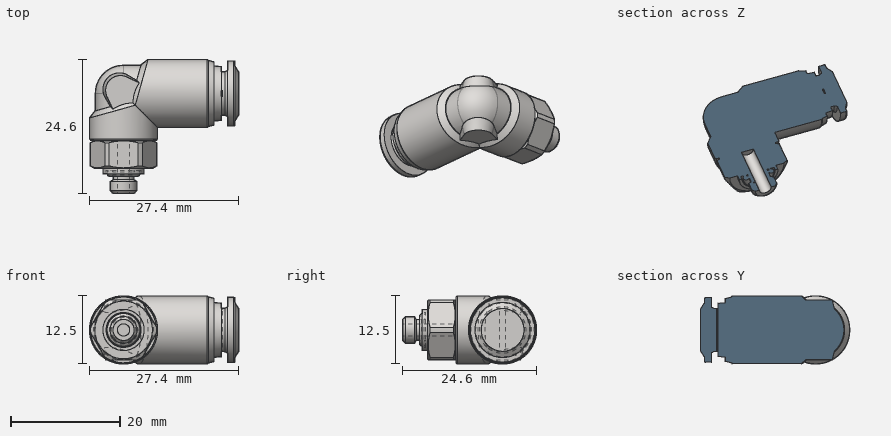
import cadquery as cq
import math


collar_radius = 12.5 / 2
elbow_radius = 5.2
collar_start = 1.72
collar_tilt = 15.8
collar_chamfer = 0.98
tube_collar_end = 15.3
stud_collar_end = 8.3

pad_height = 5.5
pad_radius = 2.7
pad_center = 0.57
pad_side_angle = 25.0
pad_reach = 4.38
pad_miter = 2.45
pad_depth = 4.1
pad_draft = 14.0

sleeve_bevel_end = 15.53
sleeve_end = 16.57
sleeve_start_radius = 6.07
sleeve_end_radius = 5.8
guide_end = 17.91
guide_start_radius = 5.05
guide_end_radius = 4.92
neck_radius = 4.0
neck_flare_start = 18.57
neck_flare_radius = 4.27
button_start = 19.05
button_bevel_start = 20.13
button_end = 20.38
button_radius = 6.0
button_end_radius = 5.9
nose_start_radius = 5.05
nose_end_radius = 3.9
tube_tip = 27.35 - collar_radius
slot_width = 0.16
slot_length = 1.05

swivel_radius = 5.47
stud_collar_tip = 8.55
stud_collar_tip_radius = 6.02
nut_start = 8.67
nut_end = 13.73
nut_flats = 2 * pad_height
nut_turn = 30.0
nut_corner_radius = 6.1
nut_start_radius = 5.5
nut_end_radius = 5.28
nut_chamfer_angle = 30.0

flange_end = 14.71
flange_radius = 3.77
seal_recess_radius = 3.2
seal_recess_depth = 0.63
seal_center_radius = 2.43
seal_section_radius = 0.57
seal_position = 14.63
stud_neck_radius = 1.91
thread_start = 15.78
thread_bevel_end = 16.1
thread_radius = 2.45
thread_chamfer_start = 17.75
thread_tip_radius = 1.95
stud_tip = 24.55 - collar_radius
bore_radius = 1.12


def turned_along_x(profile):
    """Revolve a closed (x, radius) outline about the X axis."""
    return cq.Workplane("XY").polyline(profile).close().revolve(360, (0, 0, 0), (1, 0, 0))


def turned_along_stud(profile):
    """Revolve a closed (distance along -Y, radius) outline about the Y axis."""
    points = [(radius, -distance) for distance, radius in profile]
    return cq.Workplane("XY").polyline(points).close().revolve(360, (0, 0, 0), (0, 1, 0))


def tube_side_collar(length):
    """Cylinder along +X whose inner face is slanted and chamfered."""
    slant = collar_radius * math.tan(math.radians(collar_tilt))
    blank = cq.Workplane("YZ").circle(collar_radius).extrude(length, both=True)
    keep = (
        cq.Workplane("XY")
        .polyline([
            (collar_start - slant, -collar_radius),
            (length, -collar_radius),
            (length, collar_radius),
            (collar_start + slant, collar_radius),
        ])
        .close()
        .extrude(collar_radius, both=True)
    )
    return blank.intersect(keep).faces("<X").edges().chamfer(collar_chamfer)


def elbow():
    """Round elbow with a slanted collar on each branch."""
    core = cq.Workplane("XY").sphere(elbow_radius)
    core = core.union(cq.Workplane("YZ").circle(elbow_radius).extrude(collar_radius))
    core = core.union(cq.Workplane("XZ").circle(elbow_radius).extrude(collar_radius))
    tube_collar = tube_side_collar(tube_collar_end)
    stud_collar = tube_side_collar(stud_collar_end).mirror(cq.Vector(1, 1, 0))
    return core.union(tube_collar).union(stud_collar)


def marking_pad():
    """Drafted teardrop pad on the +Z side, symmetric about the miter line."""
    angle = math.radians(pad_side_angle)
    side_x = -pad_center + pad_radius * math.sin(angle)
    side_y = pad_center + pad_radius * math.cos(angle)
    end_y = side_y - (pad_reach - side_x) * math.tan(angle)
    crown = pad_center + pad_radius * math.sqrt(0.5)
    return (
        cq.Workplane("XY", origin=(0, 0, pad_height))
        .moveTo(pad_miter, -pad_miter)
        .lineTo(pad_reach, end_y)
        .lineTo(side_x, side_y)
        .threePointArc((-crown, crown), (-side_y, -side_x))
        .lineTo(-end_y, -pad_reach)
        .close()
        .extrude(-pad_depth, taper=-pad_draft)
    )


def tube_end():
    """Stepped sleeve, neck and release button with a cross slot in the neck."""
    body = turned_along_x([
        (0, 0),
        (0, elbow_radius),
        (tube_collar_end, elbow_radius),
        (tube_collar_end, collar_radius),
        (sleeve_bevel_end, sleeve_start_radius),
        (sleeve_end, sleeve_end_radius),
        (sleeve_end, guide_start_radius),
        (guide_end, guide_end_radius),
        (guide_end, neck_radius),
        (neck_flare_start, neck_radius),
        (button_start, neck_flare_radius),
        (button_start, button_radius),
        (button_bevel_start, button_radius),
        (button_end, button_end_radius),
        (button_end, nose_start_radius),
        (tube_tip, nose_end_radius),
        (tube_tip, 0),
    ])
    slot = (
        cq.Workplane("XY")
        .center(guide_end + slot_width / 2, 0)
        .rect(slot_width, slot_length)
        .extrude(neck_radius, both=True)
    )
    return body.cut(slot)


def hexagon_nut():
    """Hexagon with rounded corners and a conical chamfer at both ends."""
    length = nut_end - nut_start
    slope = math.tan(math.radians(nut_chamfer_angle))
    hexagon = (
        cq.Workplane("XZ", origin=(0, -nut_start, 0))
        .polygon(6, nut_flats, circumscribed=True)
        .extrude(length)
        .rotate((0, 0, 0), (0, 1, 0), nut_turn)
    )
    envelope = turned_along_stud([
        (nut_start, 0),
        (nut_start, nut_start_radius),
        (nut_start + (nut_corner_radius - nut_start_radius) * slope, nut_corner_radius),
        (nut_end - (nut_corner_radius - nut_end_radius) * slope, nut_corner_radius),
        (nut_end, nut_end_radius),
        (nut_end, 0),
    ])
    return hexagon.intersect(envelope)


def stud():
    """Swivel shoulder, flange with seal recess, and threaded end."""
    recess_floor = flange_end - seal_recess_depth
    return turned_along_stud([
        (0, 0),
        (0, elbow_radius),
        (stud_collar_end, elbow_radius),
        (stud_collar_end, collar_radius),
        (stud_collar_tip, stud_collar_tip_radius),
        (stud_collar_tip, swivel_radius),
        (nut_start, swivel_radius),
        (nut_start, flange_radius),
        (flange_end, flange_radius),
        (flange_end, seal_recess_radius),
        (recess_floor, seal_recess_radius),
        (recess_floor, stud_neck_radius),
        (thread_start, stud_neck_radius),
        (thread_bevel_end, thread_radius),
        (thread_chamfer_start, thread_radius),
        (stud_tip, thread_tip_radius),
        (stud_tip, 0),
    ])


def seal_ring():
    """O-ring seated in the flange recess."""
    return (
        cq.Workplane("XY")
        .center(seal_center_radius, -seal_position)
        .circle(seal_section_radius)
        .revolve(360, (-seal_center_radius, 0, 0), (-seal_center_radius, 1, 0))
    )


def stud_bore():
    """Blind hole from the stud tip to the inner face of the nut."""
    return (
        cq.Workplane("XZ", origin=(0, -nut_start, 0))
        .circle(bore_radius)
        .extrude(stud_tip - nut_start)
    )


pad = marking_pad()
result = elbow().union(pad).union(pad.mirror("XY"))
result = result.union(tube_end()).union(stud())
result = result.union(hexagon_nut()).union(seal_ring())
result = result.cut(stud_bore())